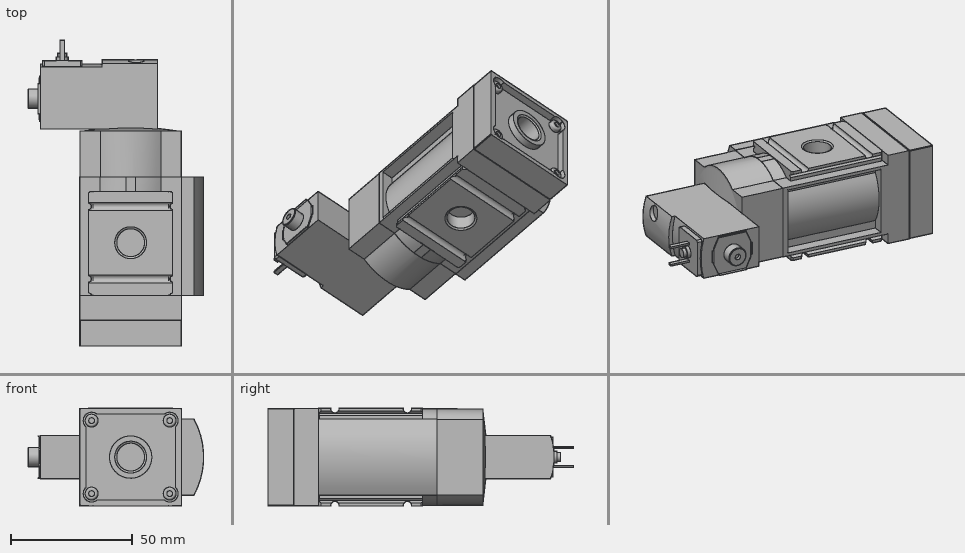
import cadquery as cq
import math


BODY_WIDTH = 42.0
BODY_HEIGHT = 40.0
FLAT_HALF_HEIGHT = 15.6
BARREL_RADIUS = BODY_HEIGHT / 2
HEAD_INSET = 0.1
CREST_FLAT_WIDTH = 4.0
CREST_FLAT_DROP = 0.15

CAP_END_Y = -42.5
CAP_JOINT_Y = -31.7
FLANGE_Y = -21.75
HEAD_JOINT_Y = 27.05
HEAD_END_Y = 46.0
CAP_EDGE_CHAMFER = 0.3

PORT_DIAMETER = 11.45
PORT_MOUTH_DIAMETER = 13.1
PORT_MOUTH_TAPER = 60.0
PORT_MOUTH_WIDTH = (PORT_MOUTH_DIAMETER - PORT_DIAMETER) / 2
PORT_MOUTH_DEPTH = PORT_MOUTH_WIDTH / math.tan(math.radians(PORT_MOUTH_TAPER))
MAIN_PORT_DEPTH = 14.0
SIDE_PORT_DEPTH = 7.3

RECESS_WIDTH = 36.8
RECESS_HEIGHT = 35.4
RECESS_DEPTH = 3.0
PORT_BOSS_DIAMETER = 17.4
SCREW_SPACING_X = 32.1
SCREW_SPACING_Z = 30.0
SCREW_POCKET_DIAMETER = 6.9
SCREW_HEAD_DIAMETER = 5.3
SCREW_HEAD_HEIGHT = 2.0
SCREW_HEAD_FILLET = 0.8
SCREW_SOCKET_DIAMETER = 2.4
SCREW_SOCKET_DEPTH = 1.0

PAD_TOP_Z = 20.1
PAD_HALF_WIDTH = 17.3
PAD_END_Y = 21.0
PAD_LIP_Z = 18.9
PAD_NECK_Z = 17.9
PAD_FOOT_Z = 17.1
PAD_NECK_INSET = 1.8
PAD_FOOT_INSET = 1.0
PAD_CORNER_CHAMFER = 0.6
PAD_TAPER_INSET = 1.8
PAD_TAPER_LENGTH = 1.2
PAD_GROOVE_RADIUS = 1.65
PAD_GROOVE_Z = 19.85
PAD_GROOVE_Y = 14.9

WINDOW_HALF_HEIGHT = 14.25
WINDOW_Y_MIN = -18.5
WINDOW_Y_MAX = 24.7
WINDOW_DEPTH = 5.0
WINDOW_BARREL_HALF_HEIGHT = 10.85

COVER_HALF_HEIGHT = 15.75
COVER_EDGE_X = 26.0
COVER_CREST_X = 30.05

DOME_RADIUS = 18.9
DOME_RISE = 1.5

COIL_X_MIN = -37.1
COIL_X_MAX = 11.1
COIL_HALF_HEIGHT = 8.95
COIL_Y_MIN = 46.7
COIL_LOW_Y = 72.3
COIL_LOW_RISE = 1.2
COIL_STEP_X = -11.75
COIL_RAISED_Y = 73.75
COIL_RAISED_RISE = 1.5
COIL_DIP_X = 2.3
COIL_DIP_Z = 4.9
COIL_DIP_DIAMETER = 6.5
COIL_DIP_DEPTH = 2.0

TERMINAL_X = -28.1
TERMINAL_PLATE_LENGTH = 16.3
TERMINAL_PLATE_HALF_HEIGHT = 8.2
TERMINAL_PLATE_Y = 74.8
TERMINAL_CORNER_CHAMFER = 0.75
TERMINAL_SINK = 1.0
TERMINAL_COLLAR_DIAMETER = 5.0
TERMINAL_COLLAR_Y = 76.35
TERMINAL_STUD_DIAMETER = 3.8
TERMINAL_STUD_Y = 77.9
BLADE_WIDTH = 2.01
BLADE_THICKNESS = 0.8
BLADE_Z = 3.95
BLADE_TIP_Y = 83.26

KNOB_Y = 59.2
KNOB_TIP_X = -42.25
KNOB_DIAMETER = 8.0
KNOB_TIP_CHAMFER = 0.3
KNOB_HOLE_DIAMETER = 2.4
KNOB_HOLE_DEPTH = 1.5
BEZEL_THICKNESS = 0.5
BEZEL_HALF_WIDTH = 8.55
BEZEL_SIDE_HALF_HEIGHT = 3.6
BEZEL_HALF_HEIGHT = 8.75
BEZEL_LIP_HALF_WIDTH = 6.2
BEZEL_LIP_HEIGHT = 0.9
BEZEL_LIP_THICKNESS = 1.0
BEZEL_LIP_CHAMFER = 0.8
BEZEL_TAB_HALF_WIDTH = 9.3
BEZEL_TAB_HALF_HEIGHT = 2.65
BEZEL_TAB_THICKNESS = 0.3


def block(x_range, y_range, z_range):
    """Box between two X, two Y and two Z values."""
    (x0, x1), (y0, y1), (z0, z1) = x_range, y_range, z_range
    corner = cq.Workplane("XY", origin=(x0, y0, z0))
    return corner.box(x1 - x0, y1 - y0, z1 - z0, centered=False)


def about(half_size):
    """Range centred on zero."""
    return (-half_size, half_size)


def section(y_start):
    """Sketch plane across the body: local x is -X, local y is Z, extruding toward +Y."""
    return cq.Workplane(cq.Plane((0, y_start, 0), xDir=(-1, 0, 0), normal=(0, 1, 0)))


def rod(x, z, diameter, y_start, y_end):
    """Cylinder along Y."""
    return section(y_start).center(-x, z).circle(diameter / 2).extrude(y_end - y_start)


def port_cutter(plane, depth):
    """Bore with a chamfered mouth, cut against the plane's normal."""
    bore = plane.circle(PORT_DIAMETER / 2).extrude(-depth)
    mouth = plane.circle(PORT_MOUTH_DIAMETER / 2).extrude(-PORT_MOUTH_DEPTH, taper=PORT_MOUTH_TAPER)
    return bore.union(mouth)


def barrel_section(y_start, y_end, inset=0):
    """Flat-sided body with the round barrel bulging above and below, shrunk by the inset."""
    flats = block(about(BODY_WIDTH / 2 - inset), (y_start, y_end), about(FLAT_HALF_HEIGHT - inset))
    return flats.union(rod(0, 0, 2 * (BARREL_RADIUS - inset), y_start, y_end))


def make_cover():
    """Cover on the +X side with a bowed outer face."""
    root_x = -BODY_WIDTH / 2
    return (
        section(FLANGE_Y)
        .moveTo(root_x, COVER_HALF_HEIGHT)
        .lineTo(-COVER_EDGE_X, COVER_HALF_HEIGHT)
        .threePointArc((-COVER_CREST_X, 0), (-COVER_EDGE_X, -COVER_HALF_HEIGHT))
        .lineTo(root_x, -COVER_HALF_HEIGHT)
        .close()
        .extrude(HEAD_JOINT_Y - FLANGE_Y)
    )


def cut_crest_flats(middle):
    """Narrow flats along the barrel's top and bottom lines."""
    flat_z = BARREL_RADIUS - CREST_FLAT_DROP
    for side in (1, -1):
        z_range = sorted((side * flat_z, side * BARREL_RADIUS))
        middle = middle.cut(block(about(CREST_FLAT_WIDTH / 2), (FLANGE_Y, HEAD_JOINT_Y), z_range))
    return middle


def cut_window(middle):
    """Rectangular window in the -X side that leaves the barrel standing inside."""
    floor_x = -BODY_WIDTH / 2 + WINDOW_DEPTH
    y_range = (WINDOW_Y_MIN, WINDOW_Y_MAX)
    pocket = block((-BODY_WIDTH / 2, floor_x), y_range, about(WINDOW_HALF_HEIGHT))
    radius = math.hypot(floor_x, WINDOW_BARREL_HALF_HEIGHT)
    return middle.cut(pocket.cut(rod(0, 0, 2 * radius, *y_range)))


def make_pad():
    """Upper dovetail pad with its two cross grooves."""
    neck = PAD_HALF_WIDTH - PAD_NECK_INSET
    foot = PAD_HALF_WIDTH - PAD_FOOT_INSET
    right_side = [
        (PAD_HALF_WIDTH, PAD_TOP_Z),
        (PAD_HALF_WIDTH, PAD_LIP_Z),
        (neck, PAD_NECK_Z),
        (foot, PAD_FOOT_Z),
        (foot, FLAT_HALF_HEIGHT),
    ]
    left_side = [(-x, z) for x, z in reversed(right_side)]
    pad = section(FLANGE_Y).polyline(right_side + left_side).close().extrude(PAD_END_Y - FLANGE_Y)
    right_edge = [
        (PAD_HALF_WIDTH - PAD_TAPER_INSET, FLANGE_Y),
        (PAD_HALF_WIDTH, FLANGE_Y + PAD_TAPER_LENGTH),
        (PAD_HALF_WIDTH, PAD_END_Y - PAD_CORNER_CHAMFER),
        (PAD_HALF_WIDTH - PAD_CORNER_CHAMFER, PAD_END_Y),
    ]
    left_edge = [(-x, y) for x, y in reversed(right_edge)]
    trim = cq.Workplane("XY").polyline(right_edge + left_edge).close().extrude(PAD_TOP_Z)
    pad = pad.intersect(trim)
    for y in about(PAD_GROOVE_Y):
        groove = cq.Workplane("YZ", origin=(0, y, PAD_GROOVE_Z)).circle(PAD_GROOVE_RADIUS)
        pad = pad.cut(groove.extrude(PAD_HALF_WIDTH, both=True))
    return pad


def make_middle():
    """Middle body with cover, window and the two port pads."""
    middle = barrel_section(FLANGE_Y, HEAD_JOINT_Y)
    middle = cut_crest_flats(middle).union(make_cover())
    for side in (1, -1):
        z_range = sorted((side * FLAT_HALF_HEIGHT, side * BARREL_RADIUS))
        middle = middle.cut(block(about(BODY_WIDTH / 2), (FLANGE_Y, PAD_END_Y), z_range))
    middle = cut_window(middle)
    pad = make_pad()
    middle = middle.union(pad).union(pad.mirror("XY"))
    for side in (1, -1):
        plane = cq.Workplane(cq.Plane(origin=(0, 0, side * PAD_TOP_Z), normal=(0, 0, side)))
        middle = middle.cut(port_cutter(plane, SIDE_PORT_DEPTH))
    return middle


def make_screw(x, z):
    """Round screw head with its socket, standing on the pocket floor."""
    floor_y = CAP_END_Y + RECESS_DEPTH
    top_y = floor_y - SCREW_HEAD_HEIGHT
    head = rod(x, z, SCREW_HEAD_DIAMETER, top_y, floor_y).faces("<Y").edges().fillet(SCREW_HEAD_FILLET)
    return head.cut(rod(x, z, SCREW_SOCKET_DIAMETER, top_y, top_y + SCREW_SOCKET_DEPTH))


def make_cap():
    """Inlet cap with recessed face, port boss and four screws."""
    cap = block(about(BODY_WIDTH / 2), (CAP_END_Y, CAP_JOINT_Y), about(BODY_HEIGHT / 2))
    cap = cap.edges("|Y").chamfer(CAP_EDGE_CHAMFER).faces(">Y").edges().chamfer(CAP_EDGE_CHAMFER)
    face_depth = (CAP_END_Y, CAP_END_Y + RECESS_DEPTH)
    recess = block(about(RECESS_WIDTH / 2), face_depth, about(RECESS_HEIGHT / 2))
    cap = cap.cut(recess.cut(rod(0, 0, PORT_BOSS_DIAMETER, *face_depth)))
    for x in about(SCREW_SPACING_X / 2):
        for z in about(SCREW_SPACING_Z / 2):
            cap = cap.cut(rod(x, z, SCREW_POCKET_DIAMETER, *face_depth))
            cap = cap.union(make_screw(x, z))
    face = cq.Workplane("XZ", origin=(0, CAP_END_Y, 0))
    return cap.cut(port_cutter(face, MAIN_PORT_DEPTH))


def make_head():
    """Head at the solenoid end, closed by a shallow dome."""
    dome = (
        cq.Workplane("XY")
        .moveTo(0, HEAD_JOINT_Y)
        .lineTo(DOME_RADIUS, HEAD_JOINT_Y)
        .lineTo(DOME_RADIUS, HEAD_END_Y)
    )
    sphere_radius = (DOME_RADIUS**2 + DOME_RISE**2) / (2 * DOME_RISE)
    dome = dome.radiusArc((0, HEAD_END_Y + DOME_RISE), -sphere_radius).close()
    dome = dome.revolve(360, (0, 0, 0), (0, 1, 0))
    return barrel_section(HEAD_JOINT_Y, HEAD_END_Y, HEAD_INSET).union(dome)


def bowed_housing(x_start, x_end, shoulder_y, bow_rise):
    """Length of solenoid housing whose +Y face is bowed from shoulder to shoulder."""
    half = COIL_HALF_HEIGHT
    return (
        cq.Workplane("YZ", origin=(x_start, 0, 0))
        .moveTo(COIL_Y_MIN, -half)
        .lineTo(shoulder_y, -half)
        .threePointArc((shoulder_y + bow_rise, 0), (shoulder_y, half))
        .lineTo(COIL_Y_MIN, half)
        .close()
        .extrude(x_end - x_start)
    )


def make_coil():
    """Solenoid housing: a low end, and a raised end with a shallow screw recess."""
    low_end = bowed_housing(COIL_X_MIN, COIL_STEP_X, COIL_LOW_Y, COIL_LOW_RISE)
    raised_end = bowed_housing(COIL_STEP_X, COIL_X_MAX, COIL_RAISED_Y, COIL_RAISED_RISE)
    crest_y = COIL_RAISED_Y + COIL_RAISED_RISE
    recess = rod(COIL_DIP_X, COIL_DIP_Z, COIL_DIP_DIAMETER, crest_y - COIL_DIP_DEPTH, crest_y)
    return low_end.union(raised_end.cut(recess))


def make_connector():
    """Terminal plate with a centre stud and two contact blades."""
    half_length = TERMINAL_PLATE_LENGTH / 2
    x_range = (TERMINAL_X - half_length, TERMINAL_X + half_length)
    base_y = COIL_LOW_Y - TERMINAL_SINK
    connector = block(x_range, (base_y, TERMINAL_PLATE_Y), about(TERMINAL_PLATE_HALF_HEIGHT))
    connector = connector.edges("|Y").chamfer(TERMINAL_CORNER_CHAMFER)
    connector = connector.union(rod(TERMINAL_X, 0, TERMINAL_COLLAR_DIAMETER, base_y, TERMINAL_COLLAR_Y))
    connector = connector.union(rod(TERMINAL_X, 0, TERMINAL_STUD_DIAMETER, base_y, TERMINAL_STUD_Y))
    blade_x = (TERMINAL_X - BLADE_WIDTH / 2, TERMINAL_X + BLADE_WIDTH / 2)
    for z in about(BLADE_Z):
        blade_z = (z - BLADE_THICKNESS / 2, z + BLADE_THICKNESS / 2)
        connector = connector.union(block(blade_x, (base_y, BLADE_TIP_Y), blade_z))
    return connector


def make_override():
    """Manual override: bezel with lips and tabs, and the round knob."""
    half = BEZEL_HALF_HEIGHT
    plane = cq.Workplane("YZ", origin=(COIL_X_MIN, KNOB_Y, 0))
    upper = [
        (BEZEL_HALF_WIDTH, BEZEL_SIDE_HALF_HEIGHT),
        (BEZEL_LIP_HALF_WIDTH, half),
        (-BEZEL_LIP_HALF_WIDTH, half),
        (-BEZEL_HALF_WIDTH, BEZEL_SIDE_HALF_HEIGHT),
    ]
    lower = [(-y, -z) for y, z in upper]
    bezel = plane.polyline(upper + lower).close().extrude(-BEZEL_THICKNESS)
    tab = plane.rect(2 * BEZEL_TAB_HALF_WIDTH, 2 * BEZEL_TAB_HALF_HEIGHT).extrude(-BEZEL_TAB_THICKNESS)
    bezel = bezel.union(tab)
    lip_x = (COIL_X_MIN - BEZEL_LIP_THICKNESS, COIL_X_MIN)
    lip_y = (KNOB_Y - BEZEL_LIP_HALF_WIDTH, KNOB_Y + BEZEL_LIP_HALF_WIDTH)
    lip = block(lip_x, lip_y, (half - BEZEL_LIP_HEIGHT, half))
    lip = lip.edges("<X and <Z").chamfer(BEZEL_LIP_CHAMFER)
    knob = plane.circle(KNOB_DIAMETER / 2).extrude(KNOB_TIP_X - COIL_X_MIN)
    knob = knob.faces("<X").edges().chamfer(KNOB_TIP_CHAMFER)
    hole = cq.Workplane("YZ", origin=(KNOB_TIP_X, KNOB_Y, 0)).circle(KNOB_HOLE_DIAMETER / 2)
    knob = knob.cut(hole.extrude(KNOB_HOLE_DEPTH))
    return bezel.union(lip).union(lip.mirror("XY")).union(knob)


flange = block(about(BODY_WIDTH / 2), (CAP_JOINT_Y, FLANGE_Y), about(BODY_HEIGHT / 2))
result = make_cap().union(flange)
for piece in (make_middle(), make_head(), make_coil(), make_connector(), make_override()):
    result = result.union(piece)